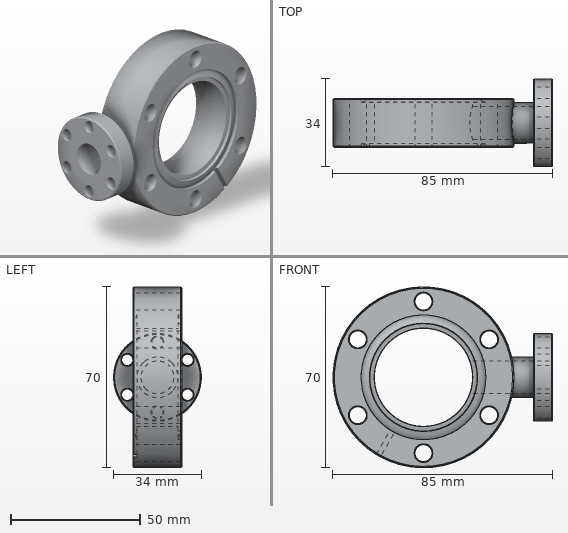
import cadquery as cq
import math

ring_diameter = 70.0
ring_width = 19.0
ring_bore_diameter = 38.0
ring_bolt_circle = 58.7
ring_bolt_hole = 6.6
ring_bolt_count = 6

seal_diameter = 48.3
seal_depth = 1.5
knife_tip_diameter = 41.9
knife_root_diameter = 41.6
knife_tip_depth = 0.4
knife_angle = 20.0

groove_angle = 240.0
groove_width = 1.9
groove_depth = 1.5
groove_overrun = 0.1

flange_diameter = 34.0
flange_thickness = 7.5
flange_face_x = 50.0
flange_bolt_circle = 27.0
flange_bolt_hole = 4.4
flange_bolt_count = 6
tube_diameter = 15.8
tube_bore = 12.7

first_bolt_angle = 30.0

rim_chamfer = 0.5
flange_chamfer = 0.4
bolt_hole_chamfer = 0.3

ring_radius = ring_diameter / 2
half_width = ring_width / 2
flange_back_x = flange_face_x - flange_thickness


def x_cylinder(diameter, start_x, end_x):
    """Solid cylinder on the X axis."""
    return cq.Workplane("YZ", origin=(start_x, 0, 0)).circle(diameter / 2).extrude(end_x - start_x)


def bolt_cutters(plane, start, length, circle, hole, first_angle, count):
    """Bolt holes chamfered at both ends, spaced evenly around the axis normal to the plane."""
    hole_radius = hole / 2
    mouth_radius = hole_radius + bolt_hole_chamfer
    profile = [
        (0, 0),
        (mouth_radius, 0),
        (hole_radius, bolt_hole_chamfer),
        (hole_radius, length - bolt_hole_chamfer),
        (mouth_radius, length),
        (0, length),
    ]
    cutter = cq.Workplane("XZ").polyline(profile).close().revolve(360, (0, 0), (0, 1)).val()
    return (
        cq.Workplane(plane)
        .workplane(offset=start)
        .polarArray(circle / 2, first_angle, 360, count)
        .eachpoint(lambda place: cutter.moved(place), True, combine=False)
    )


def ring_profile():
    """Half section of the ring as (radius, position along Y), with a knife edge in each face."""
    seal_radius = seal_diameter / 2
    tip_radius = knife_tip_diameter / 2
    root_radius = knife_root_diameter / 2
    bore_radius = ring_bore_diameter / 2
    floor_y = half_width - seal_depth
    tip_y = half_width - knife_tip_depth
    seal_root_y = tip_y - (seal_radius - tip_radius) * math.tan(math.radians(knife_angle))
    upper_half = [
        (bore_radius, floor_y),
        (root_radius, floor_y),
        (tip_radius, tip_y),
        (seal_radius, seal_root_y),
        (seal_radius, half_width),
        (ring_radius - rim_chamfer, half_width),
        (ring_radius, half_width - rim_chamfer),
    ]
    lower_half = [(radius, -y) for radius, y in reversed(upper_half)]
    return upper_half + lower_half


def leak_groove():
    """Radial groove from the seal recess out through the rim."""
    inner_radius = seal_diameter / 2 - groove_overrun
    length = ring_radius - inner_radius + groove_overrun
    return (
        cq.Workplane("XY")
        .box(length, groove_depth, groove_width, centered=(False, False, True))
        .translate((inner_radius, half_width - groove_depth, 0))
        .rotate((0, 0, 0), (0, 1, 0), -groove_angle)
    )


def make_ring():
    body = cq.Workplane("XY").polyline(ring_profile()).close().revolve(360, (0, 0), (0, 1))
    body = body.cut(
        bolt_cutters(
            "XZ", -half_width, ring_width, ring_bolt_circle, ring_bolt_hole,
            first_bolt_angle, ring_bolt_count,
        )
    )
    body = body.cut(x_cylinder(tube_bore, 0, ring_diameter))
    return body.cut(leak_groove())


def make_tube():
    """Tube whose inner end is trimmed to the ring's rim."""
    ring_envelope = cq.Workplane("XZ").circle(ring_radius).extrude(half_width, both=True)
    body = x_cylinder(tube_diameter, 0, flange_back_x).cut(ring_envelope)
    return body.cut(x_cylinder(tube_bore, 0, flange_back_x))


def make_flange():
    body = x_cylinder(flange_diameter, flange_back_x, flange_face_x).edges().chamfer(flange_chamfer)
    body = body.cut(
        bolt_cutters(
            "YZ", flange_back_x, flange_thickness, flange_bolt_circle, flange_bolt_hole,
            first_bolt_angle, flange_bolt_count,
        )
    )
    return body.cut(x_cylinder(tube_bore, flange_back_x, flange_face_x))


ring = make_ring()
tube = make_tube()
flange = make_flange()

result = cq.Compound.makeCompound([ring.val(), tube.val(), flange.val()])